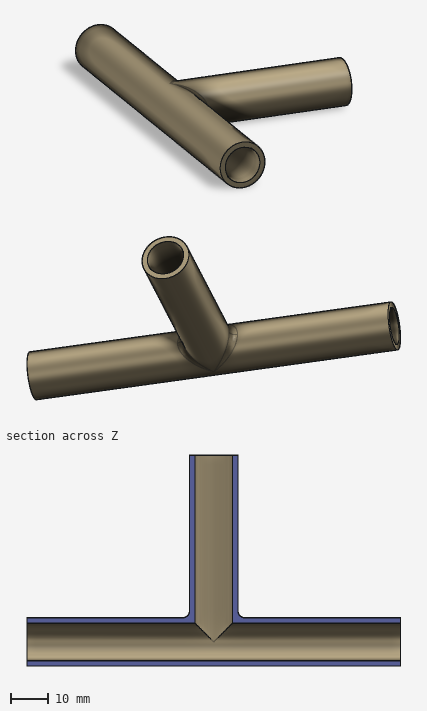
import cadquery as cq

run_length = 100.0
branch_length = 50.0
outer_diameter = 13.0
bore_diameter = 10.0
crotch_radius = 1.8


def tee_cylinders(diameter):
    """Solid run along X joined to a branch along +Y, both of the same diameter."""
    radius = diameter / 2
    run = cq.Workplane("YZ").circle(radius).extrude(run_length / 2, both=True)
    branch = cq.Workplane("XZ").circle(radius).extrude(-branch_length)
    return run.union(branch)


body = tee_cylinders(outer_diameter)
body = body.edges("%ELLIPSE").fillet(crotch_radius)

result = body.cut(tee_cylinders(bore_diameter))